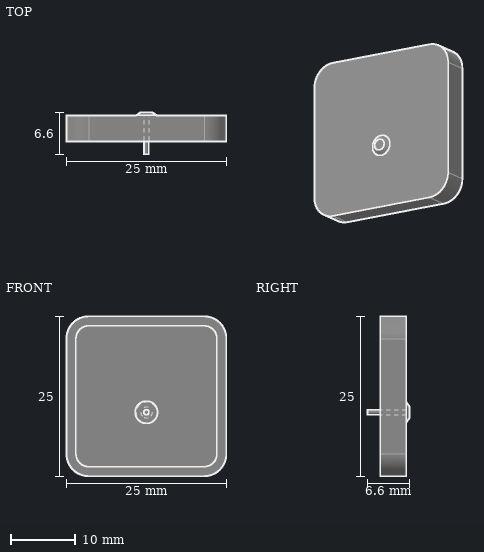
import cadquery as cq

block_side = 25.0
block_corner_radius = 3.5
block_thickness = 4.1

electrode_inset = 1.5
electrode_side = block_side - 2 * electrode_inset
electrode_corner_radius = block_corner_radius - electrode_inset
electrode_thickness = 0.05

feed_z = -2.5
pin_diameter = 0.8
pin_projection = 2.0
disc_diameter = 3.5
head_base_radius = 1.62
head_top_radius = 0.88
head_height = 0.5

front_face = -block_thickness / 2
back_face = block_thickness / 2
pin_tip = front_face - pin_projection
electrode_back = front_face + electrode_thickness


def rounded_square(side, corner_radius, thickness):
    """Square plate with rounded corners, growing toward +Y from the front face."""
    return (
        cq.Workplane("XZ", origin=(0, front_face, 0))
        .rect(side, side)
        .extrude(-thickness)
        .edges("|Y")
        .fillet(corner_radius)
    )


def feed_cylinder(diameter, y_start, y_end):
    """Cylinder on the feed axis between two stations along Y."""
    return (
        cq.Workplane("XZ", origin=(0, y_start, feed_z))
        .circle(diameter / 2)
        .extrude(y_start - y_end)
    )


def make_block(electrode_recess, pin_hole):
    """Ceramic block with a shallow front recess and a hole for the feed pin."""
    blank = rounded_square(block_side, block_corner_radius, block_thickness)
    return blank.cut(electrode_recess).cut(pin_hole)


def make_head():
    """Truncated cone on the back face, closing the end of the pin."""
    return (
        cq.Workplane("XZ", origin=(0, back_face, feed_z))
        .circle(head_base_radius)
        .workplane(offset=-head_height)
        .circle(head_top_radius)
        .loft(ruled=True)
    )


pin = feed_cylinder(pin_diameter, pin_tip, back_face)
disc_blank = feed_cylinder(disc_diameter, front_face, electrode_back)
electrode_blank = rounded_square(electrode_side, electrode_corner_radius, electrode_thickness)

block = make_block(electrode_blank, pin)
electrode = electrode_blank.cut(disc_blank)
insulating_disc = disc_blank.cut(pin)
head = make_head()

result = cq.Compound.makeCompound(
    [
        block.val(),
        electrode.val(),
        insulating_disc.val(),
        pin.val(),
        head.val(),
    ]
)